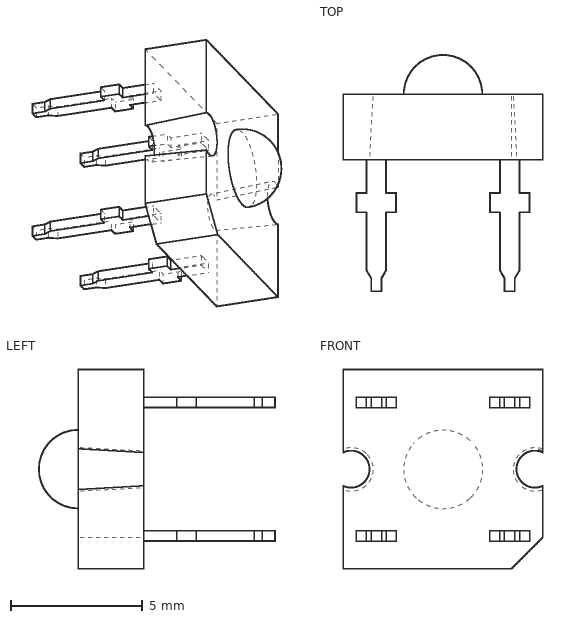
import cadquery as cq
import math


body_size = 7.6
body_depth = 2.5
corner_chamfer = 1.2

notch_inset = 0.3
notch_radius = 0.7
notch_draft = 3.0

lens_radius = 1.5

pin_pitch = 5.08
pin_length = 5.0
pin_thickness = 0.4
shank_width = 0.76
stop_width = 1.52
stop_start = 1.25
stop_length = 0.75
tip_width = 0.4
tip_length = 0.5
taper_length = 0.3


def make_body():
    """Square block with the +X, -Z corner cut off as an orientation mark."""
    block = cq.Workplane("XY").box(body_size, body_depth, body_size, centered=(True, False, True))
    return block.edges(">X and <Z").chamfer(corner_chamfer)


def make_notch(side):
    """Cone frustum that opens towards +Y; side is -1 or +1 along X."""
    wide_radius = notch_radius + body_depth * math.tan(math.radians(notch_draft))
    cone = cq.Solid.makeCone(
        notch_radius,
        wide_radius,
        body_depth,
        pnt=cq.Vector(side * (body_size / 2 - notch_inset), 0, 0),
        dir=cq.Vector(0, 1, 0),
    )
    return cq.Workplane(obj=cone)


def make_lens():
    """Sphere centred on the lens-side face, so that half of it stands proud."""
    return cq.Workplane("XY").sphere(lens_radius).translate((0, body_depth, 0))


def make_pin(x, z):
    """Flat stamped pin with a stop collar and a tapered shoulder before its tip."""
    stop_end = stop_start + stop_length
    tip_start = pin_length - tip_length
    shoulder = tip_start - taper_length
    right_edge = [
        (shank_width / 2, 0),
        (shank_width / 2, -stop_start),
        (stop_width / 2, -stop_start),
        (stop_width / 2, -stop_end),
        (shank_width / 2, -stop_end),
        (shank_width / 2, -shoulder),
        (tip_width / 2, -tip_start),
        (tip_width / 2, -pin_length),
    ]
    left_edge = [(-across, along) for across, along in reversed(right_edge)]
    outline = cq.Workplane("XY").polyline(right_edge + left_edge).close()
    return outline.extrude(pin_thickness / 2, both=True).translate((x, 0, z))


result = make_body().union(make_lens())

for side in (-1, 1):
    result = result.cut(make_notch(side))

for x in (-pin_pitch / 2, pin_pitch / 2):
    for z in (-pin_pitch / 2, pin_pitch / 2):
        result = result.union(make_pin(x, z))